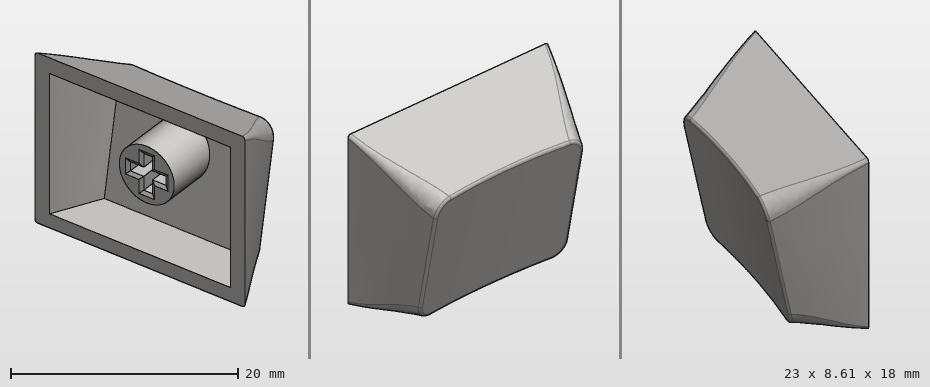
import cadquery as cq
import math

rim_width = 22.95
rim_height = 18.0
rim_corner = 0.35
half_height = rim_height / 2

crown_half_width = 8.45
crown_y_at_center = 7.83
crown_slope = 0.2
crown_corner = 1.72
top_flank_slope = 0.49
dish_radius = 78.03
crown_round = 0.32

opening_top_z = 7.35
cavity_bottom_z = -7.5
opening_half_width = 9.87
floor_half_width = 7.44
floor_slope = 0.19
floor_y_at_center = 6.25

stem_diameter = 6.0
stem_face_y = 1.0
socket_length = 3.9
socket_arm = 0.96
socket_chamfer = 0.37
socket_chamfer_depth = 0.2

section_count = 5


def tilted_plane(y_at_center, slope, z):
    """Plane through (0, y, z) whose local y runs up the slope and whose normal points to +Y."""
    return cq.Plane(
        origin=(0, y_at_center + slope * z, z),
        xDir=(-1, 0, 0),
        normal=(0, 1, -slope),
    )


def blend(start, end, fraction):
    return start + (end - start) * fraction


def flank_top(y_at_center, slope, start_z):
    """Height where a sloping top flank starting at start_z meets a tilted plane."""
    return (start_z - top_flank_slope * y_at_center) / (1 + top_flank_slope * slope)


def rounded_wire(plane, width, height, corner):
    """Rectangle with round corners, centred on the plane."""
    x = width / 2
    y = height / 2
    bulge = corner * (1 - math.sqrt(0.5))
    return (
        cq.Workplane(plane)
        .moveTo(-x + corner, -y)
        .lineTo(x - corner, -y)
        .threePointArc((x - bulge, -y + bulge), (x, -y + corner))
        .lineTo(x, y - corner)
        .threePointArc((x - bulge, y - bulge), (x - corner, y))
        .lineTo(-x + corner, y)
        .threePointArc((-x + bulge, y - bulge), (-x, y - corner))
        .lineTo(-x, -y + corner)
        .threePointArc((-x + bulge, -y + bulge), (-x + corner, -y))
        .close()
        .val()
    )


def make_body():
    """Flanks are straight, while the corner radius grows smoothly from rim to crown."""
    wires = []
    for index in range(section_count):
        t = index / (section_count - 1)
        slope = t * crown_slope
        top_z = flank_top(t * crown_y_at_center, slope, half_height)
        plane = tilted_plane(t * crown_y_at_center, slope, (top_z - half_height) / 2)
        width = 2 * blend(rim_width / 2, crown_half_width, t)
        height = (top_z + half_height) * math.hypot(1, slope)
        corner = blend(rim_corner, crown_corner, t * t * (3 - 2 * t))
        wires.append(rounded_wire(plane, width, height, corner))
    return cq.Workplane(cq.Solid.makeLoft(wires))


def make_dish():
    """Cylinder along the crown slope that touches the crown plane at its side edges."""
    sag = dish_radius - math.sqrt(dish_radius**2 - crown_half_width**2)
    plane = tilted_plane(crown_y_at_center, crown_slope, 0)
    length = 2 * rim_height
    return (
        cq.Workplane(plane)
        .transformed(rotate=(90, 0, 0))
        .center(0, dish_radius - sag)
        .circle(dish_radius)
        .extrude(length, both=True)
    )


def make_cavity():
    floor_top_z = flank_top(floor_y_at_center, floor_slope, opening_top_z)
    mid_opening = (opening_top_z + cavity_bottom_z) / 2
    mid_floor = (floor_top_z + cavity_bottom_z) / 2
    opening = (
        cq.Workplane(tilted_plane(0, 0, mid_opening))
        .rect(2 * opening_half_width, opening_top_z - cavity_bottom_z)
        .val()
    )
    floor = (
        cq.Workplane(tilted_plane(floor_y_at_center, floor_slope, mid_floor))
        .rect(2 * floor_half_width, (floor_top_z - cavity_bottom_z) * math.hypot(1, floor_slope))
        .val()
    )
    return cq.Workplane(cq.Solid.makeLoft([opening, floor], True))


def make_stem():
    """Round post reaching from its free face into the crown wall."""
    return (
        cq.Workplane(tilted_plane(stem_face_y, 0, 0))
        .circle(stem_diameter / 2)
        .extrude(floor_y_at_center)
    )


def cross_points(length, arm):
    """Corners of a plus sign, in order."""
    a = length / 2
    b = arm / 2
    quarter = [(a, -b), (a, b), (b, b)]
    points = []
    for _ in range(4):
        points += quarter
        quarter = [(-y, x) for x, y in quarter]
    return points


def make_socket():
    """Cross-shaped hole with a chamfered mouth, as deep as the cavity floor."""
    mouth_plane = tilted_plane(stem_face_y, 0, 0)
    throat_plane = tilted_plane(stem_face_y + socket_chamfer_depth, 0, 0)
    mouth_points = cross_points(socket_length + 2 * socket_chamfer, socket_arm + 2 * socket_chamfer)
    throat_points = cross_points(socket_length, socket_arm)
    mouth = cq.Workplane(mouth_plane).polyline(mouth_points).close().val()
    throat = cq.Workplane(throat_plane).polyline(throat_points).close().val()
    chamfer = cq.Workplane(cq.Solid.makeLoft([mouth, throat], True))
    shaft = cq.Workplane(throat_plane).polyline(throat_points).close().extrude(floor_y_at_center)
    return chamfer.union(shaft)


cavity = make_cavity()
body = make_body().cut(make_dish())
body = body.faces(">Y").edges().fillet(crown_round)
post = make_stem().cut(make_socket()).intersect(cavity)
result = body.cut(cavity).union(post)